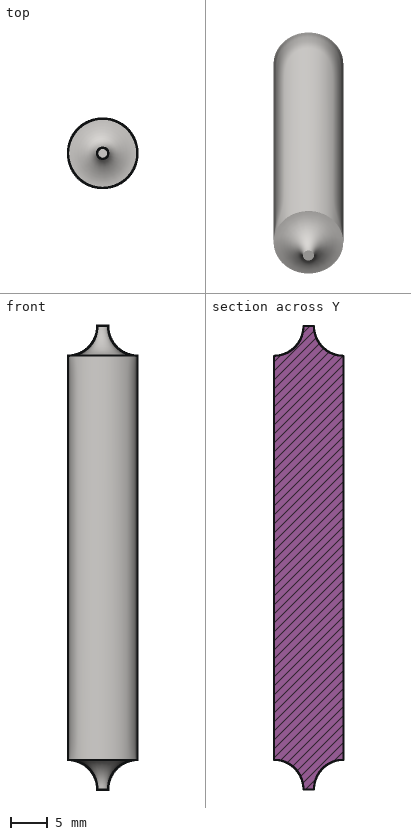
import cadquery as cq
import math

overall_length = 63.5
body_diameter = 9.525
tip_diameter = 1.524
tip_land_length = 0.127
flare_radius = 3.972

body_radius = body_diameter / 2
tip_radius = tip_diameter / 2

ledge_inner_radius = tip_radius + flare_radius

end_z = overall_length / 2
flare_start_z = end_z - tip_land_length
shoulder_z = flare_start_z - flare_radius

flare_midpoint_offset = flare_radius * math.sin(math.pi / 4)
flare_midpoint_radius = ledge_inner_radius - flare_midpoint_offset
flare_midpoint_z = flare_start_z - flare_midpoint_offset


def make_bar():
    """Revolve the full-length half profile about Z; sketch coordinates are (radius, Z)."""
    profile = (
        cq.Workplane("XZ")
        .moveTo(0, -end_z)
        .lineTo(tip_radius, -end_z)
        .lineTo(tip_radius, -flare_start_z)
        .threePointArc(
            (flare_midpoint_radius, -flare_midpoint_z),
            (ledge_inner_radius, -shoulder_z),
        )
        .lineTo(body_radius, -shoulder_z)
        .lineTo(body_radius, shoulder_z)
        .lineTo(ledge_inner_radius, shoulder_z)
        .threePointArc(
            (flare_midpoint_radius, flare_midpoint_z),
            (tip_radius, flare_start_z),
        )
        .lineTo(tip_radius, end_z)
        .lineTo(0, end_z)
        .close()
    )
    return profile.revolve(360, (0, 0, 0), (0, 1, 0))


result = make_bar()